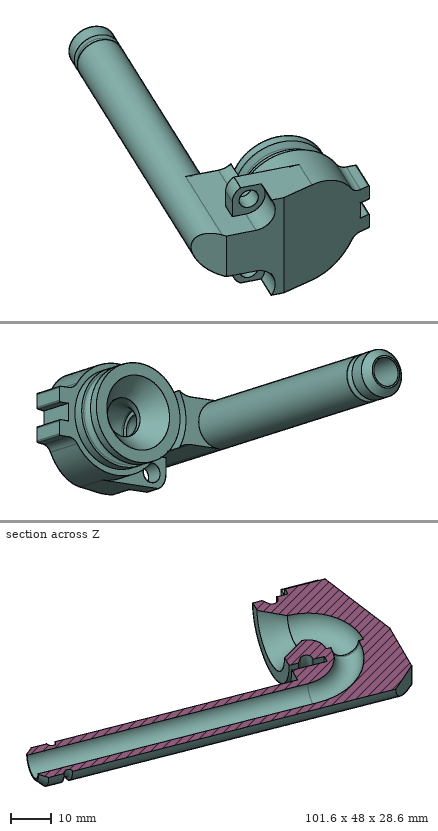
import cadquery as cq
import math


total_length = 101.6
total_width = 47.99
tube_diameter = 12.19
tube_radius = tube_diameter / 2
head_radius = 14.287
head_span = 28.575
lug_top_y = 17.43
tube_y = lug_top_y - total_width + tube_radius

hub_face_x = total_length - head_span
head_front_x = 82.4
ear_front_x = 88.8
ear_thickness = 5.08
ear_back_x = ear_front_x + ear_thickness

tip_chamfer = 1.95
tube_bore_diameter = 7.37
tube_groove_bottom_diameter = 9.91
tube_groove_center_x = 7.33
tube_groove_arc_radius = 0.97
tube_end_bevel = 6.9

hub_radius = 12.7
hub_groove_bottom_diameter = 21.08
hub_groove_center_x = 77.9
hub_groove_arc_radius = 1.55
groove_flare_angle = 55
socket_mouth_diameter = 19.05
socket_bore_diameter = 9.91
socket_depth = 6.35

web_half_width = tube_radius
web_fillet = 5.08
hub_clearance_radius = 14.5

ear_end_y = -19.4
ear_hole_diameter = 5.08
ear_hole_y = -15.05
ear_hole_z = 10.5
ear_end_radius = ear_hole_y - ear_end_y

lug_outer_z = 6.3
lug_slot_half_width = 2.25
lug_fillet = 3.175
lug_slot_floor_y = 14.4
lug_corner_radius = 0.4

taper_angle = 20
taper_end_y = -8.5

passage_x = 88.9
tube_bend_radius = 14

web_fillet_z = web_half_width + web_fillet
web_fillet_y = -math.sqrt((head_radius + web_fillet) ** 2 - web_fillet_z**2)


def bar(diameter, start_x, end_x, y=0.0, z=0.0):
    """Cylinder along X."""
    plane = cq.Plane(origin=(start_x, y, z), xDir=(0, 1, 0), normal=(1, 0, 0))
    return cq.Workplane(plane).circle(diameter / 2).extrude(end_x - start_x)


def box(x_range, y_range, z_range):
    """Box between the given limits."""
    size = [high - low for low, high in (x_range, y_range, z_range)]
    corner = (x_range[0], y_range[0], z_range[0])
    return cq.Workplane("XY").box(*size, centered=False).translate(corner)


def spin(profile, y):
    """Revolve an (X, radius) profile about X, then move it to the given Y."""
    return profile.close().revolve(360, (0, 0), (1, 0)).translate((0, y, 0))


def seal_groove(surface_radius, bottom_diameter, center_x, arc_radius, y):
    """Ring cutter: sloped front flank, round bottom and square back wall."""
    angle = math.radians(groove_flare_angle)
    arc_center_r = bottom_diameter / 2 + arc_radius
    flank_x = center_x - arc_radius * math.sin(angle)
    flank_r = arc_center_r - arc_radius * math.cos(angle)
    rim_x = flank_x - (surface_radius - flank_r) / math.tan(angle)
    wall_x = center_x + arc_radius
    profile = (
        cq.Workplane("XY")
        .moveTo(rim_x, surface_radius)
        .lineTo(flank_x, flank_r)
        .threePointArc((center_x, bottom_diameter / 2), (wall_x, arc_center_r))
        .lineTo(wall_x, surface_radius)
    )
    return spin(profile, y)


def make_tube():
    """Long tube with a chamfered tip; its far end is squared into the web."""
    tube = bar(tube_diameter, 0, total_length, tube_y)
    tube = tube.faces("<X").chamfer(tip_chamfer)
    groove = seal_groove(
        tube_radius, tube_groove_bottom_diameter, tube_groove_center_x, tube_groove_arc_radius, tube_y
    )
    return tube.cut(groove)


def make_hub():
    """Grooved spigot in front of the head."""
    hub = bar(2 * hub_radius, hub_face_x, head_front_x)
    groove = seal_groove(
        hub_radius, hub_groove_bottom_diameter, hub_groove_center_x, hub_groove_arc_radius, 0
    )
    return hub.cut(groove)


def make_web():
    """Flat web with side fillets that run up to the round head."""
    reach = head_radius / (head_radius + web_fillet)
    web = box((hub_face_x, total_length), (tube_y, 0), (-web_half_width, web_half_width))
    flare = box(
        (hub_face_x, total_length),
        (web_fillet_y, web_fillet_y * reach),
        (-web_fillet_z * reach, web_fillet_z * reach),
    )
    web = web.union(flare)
    for side in (-1, 1):
        web = web.cut(bar(2 * web_fillet, hub_face_x, total_length, web_fillet_y, side * web_fillet_z))
    return web.cut(bar(2 * hub_clearance_radius, hub_face_x, head_front_x))


def make_ear(side):
    """Screw ear on one Z side, with the head side wall continued flat behind it."""
    z_range = sorted((0, side * head_radius))
    hole_z = side * ear_hole_z
    ear = box((ear_front_x, total_length), (ear_hole_y, 0), z_range)
    ear = ear.union(box((ear_front_x, total_length), (ear_end_y, ear_hole_y), sorted((0, hole_z))))
    rounded_end = bar(2 * ear_end_radius, ear_front_x, total_length, ear_hole_y, hole_z)
    ear = ear.union(rounded_end.intersect(box((ear_front_x, total_length), (ear_end_y, 0), z_range)))

    clearance_z = side * web_fillet_z
    ear = ear.cut(bar(2 * web_fillet, ear_back_x, total_length, web_fillet_y, clearance_z))
    open_z = sorted((side * web_half_width, side * head_radius))
    ear = ear.cut(box((ear_back_x, total_length), (ear_end_y, web_fillet_y), open_z))
    return ear.cut(bar(ear_hole_diameter, ear_front_x, ear_back_x, ear_hole_y, hole_z))


def make_lugs():
    """Pair of lugs on the head, filleted into it outside and split by a slot."""
    x_range = (head_front_x, total_length)
    fillet_z = lug_outer_z + lug_fillet
    fillet_y = math.sqrt((head_radius + lug_fillet) ** 2 - fillet_z**2)
    reach = head_radius / (head_radius + lug_fillet)
    lugs = box(x_range, (0, lug_top_y), (-lug_outer_z, lug_outer_z))
    slot = box(x_range, (lug_slot_floor_y, lug_top_y), (-lug_slot_half_width, lug_slot_half_width))
    lugs = lugs.cut(slot).edges("|X and >Y").fillet(lug_corner_radius)
    lugs = lugs.union(box(x_range, (0, fillet_y), (-fillet_z * reach, fillet_z * reach)))
    for side in (-1, 1):
        lugs = lugs.cut(bar(2 * lug_fillet, *x_range, fillet_y, side * fillet_z))
    return lugs


def make_back_taper():
    """Wedge that slopes the back of the head toward the lugs."""
    rise = lug_top_y - taper_end_y
    run = rise * math.tan(math.radians(taper_angle))
    return (
        cq.Workplane("XY")
        .moveTo(total_length, taper_end_y)
        .lineTo(total_length - run, lug_top_y)
        .lineTo(total_length, lug_top_y)
        .close()
        .extrude(head_radius, both=True)
    )


def make_tube_bevel():
    """45 degree wedge at the closed end of the tube."""
    outer_y = tube_y - tube_radius
    return (
        cq.Workplane("XY")
        .moveTo(total_length, outer_y)
        .lineTo(total_length - tube_end_bevel, outer_y)
        .lineTo(total_length, outer_y + tube_end_bevel)
        .close()
        .extrude(tube_radius, both=True)
    )


def swept_bore(diameter, start_x, start_y, bend_radius, end_y):
    """Bore that starts along X, bends toward end_y at the passage and stops there."""
    turn = math.copysign(bend_radius, end_y - start_y)
    bend_start_x = passage_x - bend_radius
    half_turn = math.sqrt(0.5)
    mid = (bend_start_x + bend_radius * half_turn, start_y + turn * (1 - half_turn))
    path = cq.Workplane("XY").moveTo(start_x, start_y)
    if bend_start_x > start_x:
        path = path.lineTo(bend_start_x, start_y)
    path = path.threePointArc(mid, (passage_x, start_y + turn)).lineTo(passage_x, end_y)
    plane = cq.Plane(origin=(start_x, start_y, 0), xDir=(0, 1, 0), normal=(1, 0, 0))
    return cq.Workplane(plane).circle(diameter / 2).sweep(path)


def make_passage():
    """Conical socket in the hub, joined through the web to the bore of the tube."""
    socket_end_x = hub_face_x + socket_depth
    socket = spin(
        cq.Workplane("XY")
        .moveTo(hub_face_x, 0)
        .lineTo(hub_face_x, socket_mouth_diameter / 2)
        .lineTo(socket_end_x, socket_bore_diameter / 2)
        .lineTo(socket_end_x, 0),
        0,
    )
    hub_bend_radius = passage_x - socket_end_x
    meeting_y = (tube_y + tube_bend_radius - hub_bend_radius) / 2
    hub_bore = swept_bore(socket_bore_diameter, socket_end_x, 0, hub_bend_radius, meeting_y)
    tube_bore = swept_bore(tube_bore_diameter, 0, tube_y, tube_bend_radius, meeting_y)
    return socket.union(hub_bore).union(tube_bore)


body = bar(2 * head_radius, head_front_x, total_length)
body = body.union(make_web())
for ear_side in (-1, 1):
    body = body.union(make_ear(ear_side))
body = body.union(make_lugs()).union(make_hub()).union(make_tube())
body = body.cut(make_back_taper()).cut(make_tube_bevel())
result = body.cut(make_passage())